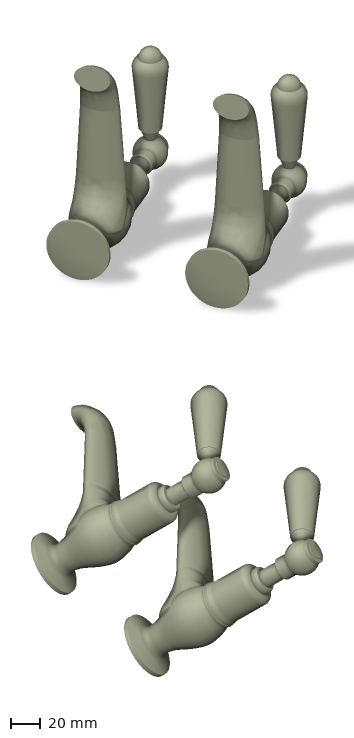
import cadquery as cq
import math


TAP_PITCH = 100.0

FLANGE_R = 22.5
FLANGE_THICKNESS = 3.2
FLANGE_CONE_END_Y = 7.0
FLANGE_CONE_END_R = 13.3
NECK_R = 10.6
NECK_START_Y = 10.9
NECK_END_Y = 12.1
BODY_END_Y = 62.1
BODY_END_R = 14.7
BULB_WIDEST_Y = 43.2
BULB_R = 20.0
BULB_RISE = [(20.3, 12.5), (30.6, 16.8)]
BULB_FALL = [(52.5, 18.8)]

FLARE_TOP_Z = 37.0
FLARE_MIDDLES = [(15.9, 25.6, 57.8), (19.7, 29.2, 55.0), (24.2, 32.0, 53.3), (30.3, 34.2, 52.2)]
FOOT_TOP_Z = 12.1
FOOT_BASE_NEAR_Y = 28.0
FOOT_BASE_FAR_Y = 55.3
FOOT_NEAR_Y = 21.2
FOOT_FAR_Y = 59.7
STEM_NEAR_Y = 34.7
STEM_FAR_Y = 51.6
STEM_TOP_Z = 90.8
STEM_TOP_FAR_Y = 49.2
FOOT_HALF_WIDTH = 19.0
OUTLET_HALF_WIDTH = 12.9
BEND_START = ((31.6, 103.3), (48.5, 102.4))
BEND_QUARTER = ((29.0, 108.4), (46.5, 111.0))
BEND_HALF = ((27.0, 110.2), (39.8, 121.5))
OUTLET_LOW = (25.5, 111.3)
OUTLET_HIGH = (27.9, 128.8)

COLLAR_R = 16.4
COLLAR_START_Y = 62.8
COLLAR_END_Y = 64.0
SKIRT_R = 15.9
SKIRT_END_Y = 65.9
BONNET_R = 15.1
BONNET_START_Y = 68.9
BONNET_END_Y = 98.7
BONNET_ROUND = 4.7
GLAND_R = 9.7
GLAND_END_Y = 103.3
GLAND_BEVEL_LENGTH = 1.7
GLAND_BEVEL_DEPTH = 0.9
SPINDLE_R = 6.4

HUB_START_Y = 117.2
HUB_SLEEVE_R = 8.0
HUB_SLEEVE_CHAMFER = 0.9
HUB_BALL_R = 12.0
LEVER_Y = 135.0
HUB_CAP_R = 9.0
HUB_CAP_END_Y = 146.0
HUB_BUTTON_R = 5.9
HUB_BUTTON_HEIGHT = 0.6

LEVER_NECK_R = 3.8
LEVER_NECK_BASE_Z = 10.6
LEVER_NECK_MIDDLE = (5.5, 15.5)
LEVER_NECK_TOP_R = 7.5
GRIP_BASE_Z = 19.7
GRIP_BASE_R = 8.0
GRIP_TOP_Z = 66.5
GRIP_TOP_R = 12.4
SHOULDER_MIDDLE = (11.5, 71.8)
SHOULDER_TOP_Z = 74.8
SHOULDER_TOP_R = 8.8
KNOB_R = 8.0
KNOB_TOP_Z = 82.7


def turn_about_y(profile):
    """Revolve an XY profile, drawn as (radius, y), about the tap axis."""
    return profile.close().revolve(360, (0, 0, 0), (0, 1, 0))


def section(near, far, half_width):
    """Elliptical spout section whose YZ diameter runs from near to far."""
    rise_y = far[0] - near[0]
    rise_z = far[1] - near[1]
    plane = cq.Plane(
        origin=(0, (near[0] + far[0]) / 2, (near[1] + far[1]) / 2),
        xDir=(1, 0, 0),
        normal=(0, -rise_z, rise_y),
    )
    half_depth = math.hypot(rise_y, rise_z) / 2
    return cq.Workplane(plane).ellipse(half_width, half_depth).wire().val()


def spout_half_width(z):
    """The spout narrows evenly from the foot to the outlet."""
    outlet_z = OUTLET_LOW[1]
    share = (z - FOOT_TOP_Z) / (outlet_z - FOOT_TOP_Z)
    return FOOT_HALF_WIDTH + share * (OUTLET_HALF_WIDTH - FOOT_HALF_WIDTH)


def level_section(z, near_y, far_y):
    return section((near_y, z), (far_y, z), spout_half_width(z))


def make_spout():
    foot_base = section((FOOT_BASE_NEAR_Y, 0), (FOOT_BASE_FAR_Y, 0), FOOT_HALF_WIDTH)
    foot = level_section(FOOT_TOP_Z, FOOT_NEAR_Y, FOOT_FAR_Y)
    flare_top = level_section(FLARE_TOP_Z, STEM_NEAR_Y, STEM_FAR_Y)
    stem_top = level_section(STEM_TOP_Z, STEM_NEAR_Y, STEM_TOP_FAR_Y)
    flare_middles = [level_section(*middle) for middle in FLARE_MIDDLES]
    bend = [
        section(near, far, spout_half_width(near[1]))
        for near, far in (BEND_START, BEND_QUARTER, BEND_HALF)
    ]
    outlet = section(OUTLET_LOW, OUTLET_HIGH, OUTLET_HALF_WIDTH)

    flare = cq.Solid.makeLoft([foot_base, foot, *flare_middles, flare_top])
    stem = cq.Solid.makeLoft([flare_top, stem_top])
    bent_end = cq.Solid.makeLoft([stem_top, *bend, outlet])
    return cq.Workplane(flare).union(stem).union(bent_end)


def make_body():
    bulb_points = [(r, y) for y, r in (*BULB_RISE, (BULB_WIDEST_Y, BULB_R), *BULB_FALL)]
    turned = turn_about_y(
        cq.Workplane("XY")
        .lineTo(FLANGE_R, 0)
        .lineTo(FLANGE_R, FLANGE_THICKNESS)
        .lineTo(FLANGE_CONE_END_R, FLANGE_CONE_END_Y)
        .tangentArcPoint((NECK_R, NECK_START_Y), relative=False)
        .lineTo(NECK_R, NECK_END_Y)
        .spline([*bulb_points, (BODY_END_R, BODY_END_Y)], includeCurrent=True)
        .lineTo(0, BODY_END_Y)
    )
    return turned.union(make_spout())


def make_headwork():
    round_middle = BONNET_ROUND * (1 - math.sqrt(0.5))
    return turn_about_y(
        cq.Workplane("XY")
        .moveTo(0, BODY_END_Y)
        .lineTo(BODY_END_R, BODY_END_Y)
        .lineTo(COLLAR_R, COLLAR_START_Y)
        .lineTo(COLLAR_R, COLLAR_END_Y)
        .lineTo(SKIRT_R, COLLAR_END_Y)
        .lineTo(SKIRT_R, SKIRT_END_Y)
        .lineTo(BONNET_R, BONNET_START_Y)
        .lineTo(BONNET_R, BONNET_END_Y - BONNET_ROUND)
        .threePointArc(
            (BONNET_R - round_middle, BONNET_END_Y - round_middle),
            (BONNET_R - BONNET_ROUND, BONNET_END_Y),
        )
        .lineTo(GLAND_R, BONNET_END_Y)
        .lineTo(GLAND_R, GLAND_END_Y - GLAND_BEVEL_LENGTH)
        .lineTo(GLAND_R - GLAND_BEVEL_DEPTH, GLAND_END_Y)
        .lineTo(SPINDLE_R, GLAND_END_Y)
        .lineTo(SPINDLE_R, HUB_START_Y)
        .lineTo(0, HUB_START_Y)
    )


def make_hub():
    sleeve_end_y = LEVER_Y - math.sqrt(HUB_BALL_R**2 - HUB_SLEEVE_R**2)
    cap_start_y = LEVER_Y + math.sqrt(HUB_BALL_R**2 - HUB_CAP_R**2)
    return turn_about_y(
        cq.Workplane("XY")
        .moveTo(0, HUB_START_Y)
        .lineTo(HUB_SLEEVE_R - HUB_SLEEVE_CHAMFER, HUB_START_Y)
        .lineTo(HUB_SLEEVE_R, HUB_START_Y + HUB_SLEEVE_CHAMFER)
        .lineTo(HUB_SLEEVE_R, sleeve_end_y)
        .threePointArc((HUB_BALL_R, LEVER_Y), (HUB_CAP_R, cap_start_y))
        .lineTo(HUB_CAP_R, HUB_CAP_END_Y)
        .lineTo(HUB_BUTTON_R, HUB_CAP_END_Y)
        .lineTo(HUB_BUTTON_R, HUB_CAP_END_Y + HUB_BUTTON_HEIGHT)
        .lineTo(0, HUB_CAP_END_Y + HUB_BUTTON_HEIGHT)
    )


def make_lever():
    """Lever turned about its own upright axis, drawn as (radius, z)."""
    knob_centre_z = KNOB_TOP_Z - KNOB_R
    knob_middle = KNOB_R * math.sqrt(0.5)
    knob_start_r = math.sqrt(KNOB_R**2 - (SHOULDER_TOP_Z - knob_centre_z) ** 2)
    return (
        cq.Workplane("XZ", origin=(0, LEVER_Y, 0))
        .lineTo(LEVER_NECK_R, 0)
        .lineTo(LEVER_NECK_R, LEVER_NECK_BASE_Z)
        .threePointArc(LEVER_NECK_MIDDLE, (LEVER_NECK_TOP_R, GRIP_BASE_Z))
        .lineTo(GRIP_BASE_R, GRIP_BASE_Z)
        .lineTo(GRIP_TOP_R, GRIP_TOP_Z)
        .threePointArc(SHOULDER_MIDDLE, (SHOULDER_TOP_R, SHOULDER_TOP_Z))
        .lineTo(knob_start_r, SHOULDER_TOP_Z)
        .threePointArc((knob_middle, knob_centre_z + knob_middle), (0, KNOB_TOP_Z))
        .close()
        .revolve(360, (0, 0, 0), (0, 1, 0))
    )


def make_handle():
    return make_hub().union(make_lever())


body = make_body()
headwork = make_headwork()
handle = make_handle()

solids = []
for tap_x in (-TAP_PITCH / 2, TAP_PITCH / 2):
    for part in (body, headwork, handle):
        solids.append(part.translate((tap_x, 0, 0)).solids().val())

result = cq.Compound.makeCompound(solids)